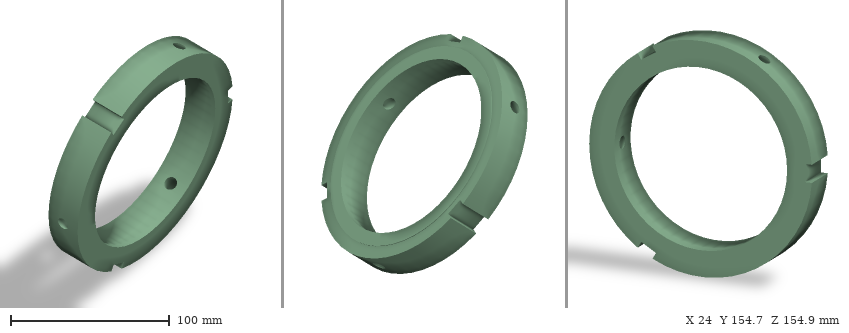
import cadquery as cq
import math

outer_diameter = 154.9
bore_diameter = 120.0
total_width = 24.0
lip_diameter = 138.0
lip_height = 0.5

station_count = 3
slot_width = 12.0
slot_floor_radius = 72.5
hole_diameter = 8.4

station_pitch = 360 / station_count
outer_radius = outer_diameter / 2
body_width = total_width - lip_height
face_x = -total_width / 2
body_start_x = face_x + lip_height
body_center_x = body_start_x + body_width / 2


def disc(diameter, start_x, length):
    """Solid cylinder about the X axis, growing toward +X."""
    return cq.Workplane("YZ", origin=(start_x, 0, 0)).circle(diameter / 2).extrude(length)


def around_axis(cutter, index):
    """Turn a cutter about the X axis to one of the evenly spaced stations."""
    return cutter.rotate((0, 0, 0), (1, 0, 0), index * station_pitch)


ring = disc(outer_diameter, body_start_x, body_width)
ring = ring.union(disc(lip_diameter, face_x, total_width))
ring = ring.cut(disc(bore_diameter, face_x, total_width))

slot = cq.Workplane("XY").box(total_width, outer_radius, slot_width)
slot = slot.translate((0, slot_floor_radius + outer_radius / 2, 0))

hole = (
    cq.Workplane("XZ", origin=(body_center_x, 0, 0))
    .circle(hole_diameter / 2)
    .extrude(outer_diameter)
)

for station in range(station_count):
    ring = ring.cut(around_axis(slot, station))
    ring = ring.cut(around_axis(hole, station))

result = ring